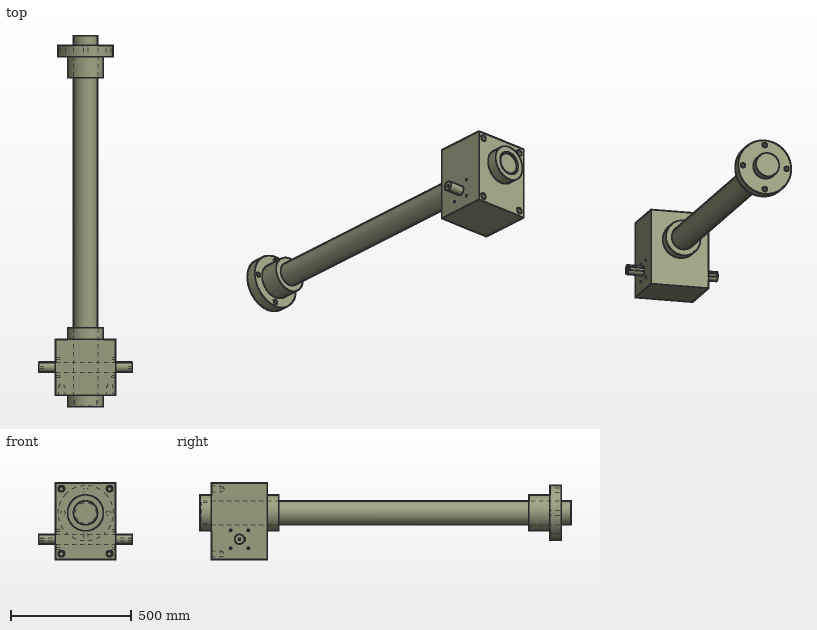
import cadquery as cq
import math


housing_width = 250.0
housing_depth = 233.0
housing_height = 320.0
spindle_to_top = 125.0
housing_top = spindle_to_top
housing_bottom = housing_top - housing_height

mount_hole_diameter = 26.0
mount_drill_diameter = 20.0
mount_hole_inset = 25.0
mount_hole_depth = 37.0
mount_drill_depth = 46.0
drill_point_angle = 118

shaft_diameter = 40.0
shaft_length = 390.0
shaft_drop = 110.0

key_width = 12.0
key_projection = 3.0
key_length = 63.0
key_end_gap = 5.0
key_height = 8.0
key_x = shaft_length / 2 - key_end_gap - key_length / 2
key_y = shaft_diameter / 2 + key_projection - key_height / 2

small_hole_diameter = 8.3
small_hole_depth = 19.0
small_hole_spacing = 74.0

boss_diameter = 150.0
boss_projection = 48.0
boss_length = housing_depth + 2 * boss_projection
boss_start = -boss_length / 2

cap_diameter = 100.0
cap_socket_diameter = 88.0
cap_floor = 5.0
cap_length = boss_projection

spindle_diameter = cap_diameter
overall_length = 1545
spindle_end = boss_start + overall_length
journal_start = boss_start + cap_floor
journal_length = cap_length - cap_floor
spindle_start = boss_start + cap_length

nut_diameter = 150.0
nut_length = 136.0
flange_diameter = 230.0
flange_thickness = 48.0
spindle_overhang = 40.0
nut_end = spindle_end - spindle_overhang
nut_start = nut_end - nut_length
flange_start = nut_end - flange_thickness
flange_hole_diameter = 20.0
flange_hole_count = 4
flange_bolt_circle = 190.0


def cylinder_y(diameter, start, length, x=0, z=0):
    """Cylinder along +Y beginning at Y = start."""
    solid = cq.Solid.makeCylinder(diameter / 2, length, cq.Vector(x, start, z), cq.Vector(0, 1, 0))
    return cq.Workplane(solid)


def cylinder_x(diameter, start, length, y=0, z=0):
    """Cylinder along +X beginning at X = start."""
    solid = cq.Solid.makeCylinder(diameter / 2, length, cq.Vector(start, y, z), cq.Vector(1, 0, 0))
    return cq.Workplane(solid)


def mount_hole(x, z):
    """Blind stepped hole in the -Y face, with its conical tip."""
    front = -housing_depth / 2
    radius = mount_drill_diameter / 2
    tip_length = radius / math.tan(math.radians(drill_point_angle / 2))
    tip_base = cq.Vector(x, front + mount_drill_depth, z)
    tip = cq.Workplane(cq.Solid.makeCone(radius, 0, tip_length, tip_base, cq.Vector(0, 1, 0)))
    mouth = cylinder_y(mount_hole_diameter, front, mount_hole_depth, x, z)
    drilling = cylinder_y(mount_drill_diameter, front, mount_drill_depth, x, z)
    return mouth.union(drilling).union(tip)


def make_housing():
    body = cq.Workplane("XY").box(housing_width, housing_depth, housing_height)
    body = body.translate((0, 0, (housing_top + housing_bottom) / 2))
    body = body.union(cylinder_y(boss_diameter, boss_start, boss_length))
    body = body.cut(cylinder_y(spindle_diameter, boss_start, boss_length))
    body = body.cut(cylinder_x(shaft_diameter, -shaft_length / 2, shaft_length, z=-shaft_drop))
    hole_x = housing_width / 2 - mount_hole_inset
    for x in (-hole_x, hole_x):
        for z in (housing_bottom + mount_hole_inset, housing_top - mount_hole_inset):
            body = body.cut(mount_hole(x, z))
    offset = small_hole_spacing / 2
    for start in (-housing_width / 2, housing_width / 2 - small_hole_depth):
        for y in (-offset, offset):
            for z in (-shaft_drop - offset, -shaft_drop + offset):
                body = body.cut(cylinder_x(small_hole_diameter, start, small_hole_depth, y, z))
    return body


def make_worm_shaft():
    shaft = cylinder_x(shaft_diameter, -shaft_length / 2, shaft_length, z=-shaft_drop)
    for start in (-shaft_length / 2, shaft_length / 2 - small_hole_depth):
        shaft = shaft.cut(cylinder_x(small_hole_diameter, start, small_hole_depth, z=-shaft_drop))
    for side in (-1, 1):
        key = cq.Workplane("XY").box(key_length, key_height, key_width)
        shaft = shaft.union(key.translate((side * key_x, key_y, -shaft_drop)))
    return shaft


def make_end_cap():
    cap = cylinder_y(cap_diameter, boss_start, cap_length)
    return cap.cut(cylinder_y(cap_socket_diameter, journal_start, journal_length))


def make_spindle():
    spindle = cylinder_y(spindle_diameter, spindle_start, spindle_end - spindle_start)
    return spindle.union(cylinder_y(cap_socket_diameter, journal_start, journal_length))


def make_nut():
    nut = cylinder_y(nut_diameter, nut_start, nut_length)
    nut = nut.union(cylinder_y(flange_diameter, flange_start, flange_thickness))
    nut = nut.cut(cylinder_y(spindle_diameter, nut_start, nut_length))
    for index in range(flange_hole_count):
        angle = math.radians(360 / flange_hole_count * index)
        x = flange_bolt_circle / 2 * math.cos(angle)
        z = flange_bolt_circle / 2 * math.sin(angle)
        nut = nut.cut(cylinder_y(flange_hole_diameter, flange_start, flange_thickness, x, z))
    return nut


result = cq.Compound.makeCompound([
    make_housing().val(),
    make_worm_shaft().val(),
    make_end_cap().val(),
    make_spindle().val(),
    make_nut().val(),
])